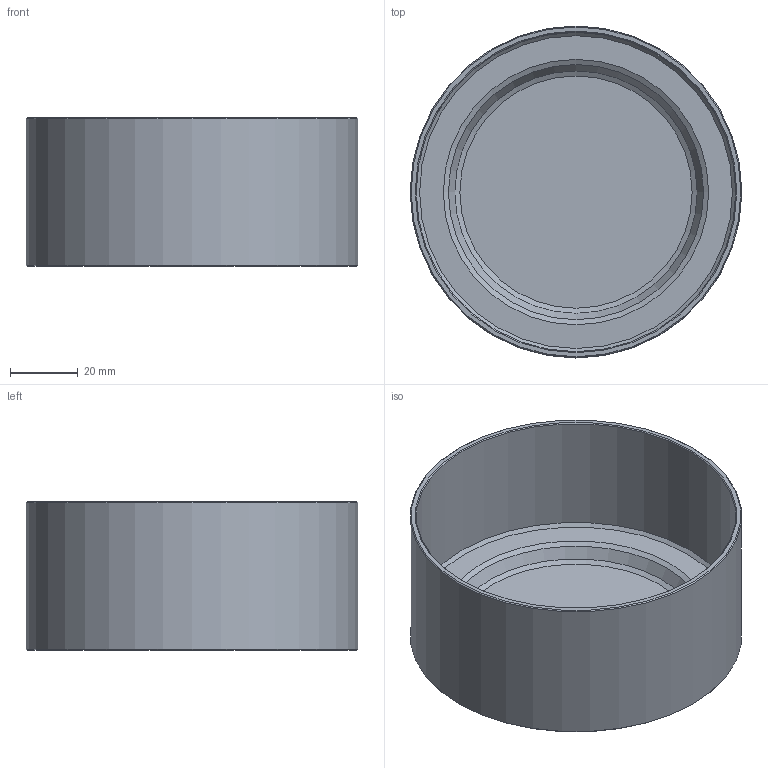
import cadquery as cq
import math

outer_diameter = 98.0
bore_diameter = 94.4
height = 44.0
edge_chamfer = 0.3

floor_height = 7.0
floor_chamfer = 1.0
recess_bottom_height = 2.0
recess_bottom_diameter = 70.6
recess_slope_angle = 60.0

outer_radius = outer_diameter / 2
bore_radius = bore_diameter / 2
recess_bottom_radius = recess_bottom_diameter / 2
recess_depth = floor_height - recess_bottom_height
recess_run = recess_depth / math.tan(math.radians(recess_slope_angle))
recess_top_radius = recess_bottom_radius + recess_run


def make_cup():
    """Revolve the half section with sharp corners about the Z axis."""
    section = (
        cq.Workplane("XZ")
        .lineTo(outer_radius, 0)
        .lineTo(outer_radius, height)
        .lineTo(bore_radius, height)
        .lineTo(bore_radius, floor_height)
        .lineTo(recess_top_radius, floor_height)
        .lineTo(recess_bottom_radius, recess_bottom_height)
        .lineTo(0, recess_bottom_height)
        .close()
    )
    return section.revolve(360, (0, 0, 0), (0, 1, 0))


def chamfer_inner_floor(cup):
    """Bevel the floor corner, the recess mouth and the recess bottom corner."""
    recess_bottom_and_floor = cup.faces("|Z").faces("not(<Z or >Z)")
    return recess_bottom_and_floor.edges("%CIRCLE").chamfer(floor_chamfer)


def chamfer_outer_edges(cup):
    """Break the edge of the base and both edges of the rim."""
    return cup.faces("<Z or >Z").edges("%CIRCLE").chamfer(edge_chamfer)


result = chamfer_outer_edges(chamfer_inner_floor(make_cup()))